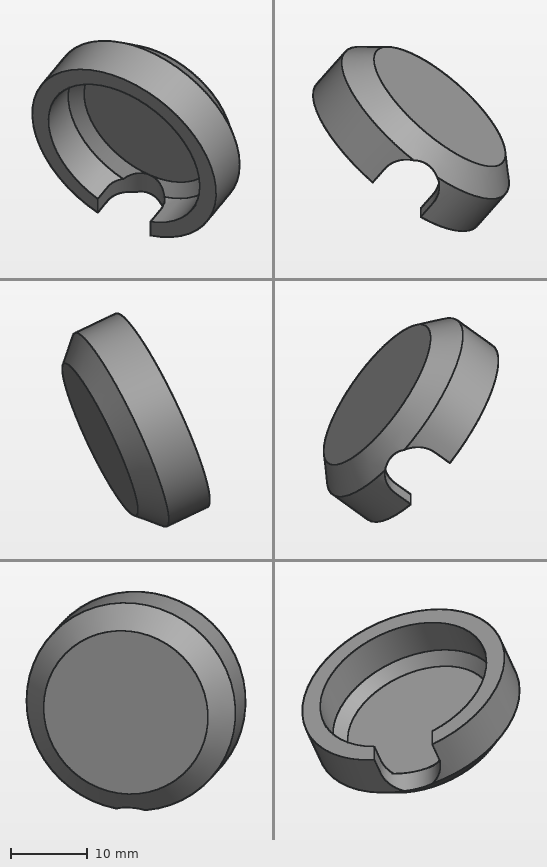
import cadquery as cq

outer_radius = 13.98
height = 9.0
back_chamfer = 3.0

pocket_radius = 11.5
floor_chamfer = 1.5
floor_depth = 6.5
floor_radius = pocket_radius - floor_chamfer
wall_depth = floor_depth - floor_chamfer

notch_radius = 4.0
notch_center_y = floor_depth - notch_radius


def make_cup():
    """Revolve the wall section about the Y axis."""
    back_radius = outer_radius - back_chamfer
    section = (
        cq.Workplane("XY")
        .moveTo(0, floor_depth)
        .lineTo(floor_radius, floor_depth)
        .lineTo(pocket_radius, wall_depth)
        .lineTo(pocket_radius, 0)
        .lineTo(outer_radius, 0)
        .lineTo(outer_radius, height - back_chamfer)
        .lineTo(back_radius, height)
        .lineTo(0, height)
        .close()
    )
    return section.revolve(360, (0, 0, 0), (0, 1, 0))


def make_notch():
    """Vertical U-shaped cutter running from the cup's axis out through its lower wall."""
    return (
        cq.Workplane("XY")
        .moveTo(-notch_radius, 0)
        .lineTo(-notch_radius, notch_center_y)
        .threePointArc((0, floor_depth), (notch_radius, notch_center_y))
        .lineTo(notch_radius, 0)
        .close()
        .extrude(-outer_radius)
    )


result = make_cup().cut(make_notch())